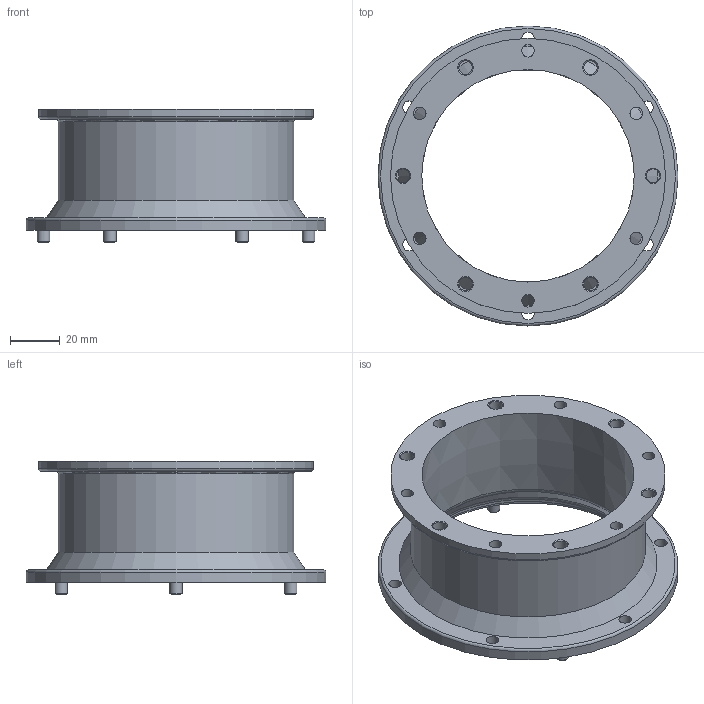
import cadquery as cq
import math

TOTAL_HEIGHT = 48.5
LOWER_FLANGE_THICKNESS = 5.0
UPPER_FLANGE_THICKNESS = 4.0
SKIRT_TOP = 12.0

LOWER_FLANGE_RADIUS = 60.0
UPPER_FLANGE_RADIUS = 55.0
BARREL_RADIUS = 47.1
SKIRT_BASE_RADIUS = 51.75
RIM_FILLET = 1.0
NECK_FILLET = 1.0

BORE_TOP_RADIUS = 42.5
BORE_DRAFT = math.radians(2.0)
BORE_END_HEIGHT = 10.4
BORE_END_RADIUS = BORE_TOP_RADIUS + (TOTAL_HEIGHT - BORE_END_HEIGHT) * math.tan(BORE_DRAFT)
MOUTH_RADIUS = 48.2
MOUTH_HEIGHT = 2.4
FLARE_ANGLE = math.radians(34.5)
RECESS_RADIUS = 49.0
RECESS_DEPTH = 1.3

PATTERN_COUNT = 6
PATTERN_STEP = 360.0 / PATTERN_COUNT
HALF_STEP = PATTERN_STEP / 2
UPPER_HOLE_CIRCLE_RADIUS = 50.0
PLAIN_HOLE_DIAMETER = 5.0
TAPPED_HOLE_DIAMETER = 5.5
TAPPED_HOLE_CHAMFER = 0.35
LOWER_HOLE_CIRCLE_RADIUS = 55.0
PIN_CIRCLE_RADIUS = 53.0
PIN_DIAMETER = 5.0
PIN_LENGTH = 5.0
PIN_CHAMFER = 0.5

UPPER_FLANGE_BOTTOM = TOTAL_HEIGHT - UPPER_FLANGE_THICKNESS


def make_envelope():
    """Solid of revolution bounded by the outer profile."""
    inset_ratio = 1 - math.cos(math.radians(45))
    rim_inset = RIM_FILLET * inset_ratio
    neck_inset = NECK_FILLET * inset_ratio
    profile = (
        cq.Workplane("XZ")
        .moveTo(0, 0)
        .lineTo(LOWER_FLANGE_RADIUS, 0)
        .lineTo(LOWER_FLANGE_RADIUS, LOWER_FLANGE_THICKNESS - RIM_FILLET)
        .threePointArc(
            (LOWER_FLANGE_RADIUS - rim_inset, LOWER_FLANGE_THICKNESS - rim_inset),
            (LOWER_FLANGE_RADIUS - RIM_FILLET, LOWER_FLANGE_THICKNESS),
        )
        .lineTo(SKIRT_BASE_RADIUS, LOWER_FLANGE_THICKNESS)
        .lineTo(BARREL_RADIUS, SKIRT_TOP)
        .lineTo(BARREL_RADIUS, UPPER_FLANGE_BOTTOM - NECK_FILLET)
        .threePointArc(
            (BARREL_RADIUS + neck_inset, UPPER_FLANGE_BOTTOM - neck_inset),
            (BARREL_RADIUS + NECK_FILLET, UPPER_FLANGE_BOTTOM),
        )
        .lineTo(UPPER_FLANGE_RADIUS - RIM_FILLET, UPPER_FLANGE_BOTTOM)
        .threePointArc(
            (UPPER_FLANGE_RADIUS - rim_inset, UPPER_FLANGE_BOTTOM + rim_inset),
            (UPPER_FLANGE_RADIUS, UPPER_FLANGE_BOTTOM + RIM_FILLET),
        )
        .lineTo(UPPER_FLANGE_RADIUS, TOTAL_HEIGHT)
        .lineTo(0, TOTAL_HEIGHT)
        .close()
    )
    return profile.revolve(360, (0, 0, 0), (0, 1, 0))


def make_passage():
    """Inner void: tapered bore, rounded flare, cylindrical mouth and bottom recess.

    The flare is a cone joined to the bore and to the mouth by two equal
    opposite arcs, each turning through the flare angle.
    """
    rise = BORE_END_HEIGHT - MOUTH_HEIGHT
    spread = MOUTH_RADIUS - BORE_END_RADIUS
    sine = math.sin(FLARE_ANGLE)
    cosine = math.cos(FLARE_ANGLE)
    blend_radius = (rise * sine - spread * cosine) / (2 * (1 - cosine))

    def arc_offset(angle):
        """Sideways and vertical travel along an arc that starts vertical."""
        return blend_radius * (1 - math.cos(angle)), blend_radius * math.sin(angle)

    mid_side, mid_drop = arc_offset(FLARE_ANGLE / 2)
    end_side, end_drop = arc_offset(FLARE_ANGLE)
    profile = (
        cq.Workplane("XZ")
        .moveTo(0, TOTAL_HEIGHT)
        .lineTo(BORE_TOP_RADIUS, TOTAL_HEIGHT)
        .lineTo(BORE_END_RADIUS, BORE_END_HEIGHT)
        .threePointArc(
            (BORE_END_RADIUS + mid_side, BORE_END_HEIGHT - mid_drop),
            (BORE_END_RADIUS + end_side, BORE_END_HEIGHT - end_drop),
        )
        .lineTo(MOUTH_RADIUS - end_side, MOUTH_HEIGHT + end_drop)
        .threePointArc(
            (MOUTH_RADIUS - mid_side, MOUTH_HEIGHT + mid_drop),
            (MOUTH_RADIUS, MOUTH_HEIGHT),
        )
        .lineTo(MOUTH_RADIUS, RECESS_DEPTH)
        .lineTo(RECESS_RADIUS, RECESS_DEPTH)
        .lineTo(RECESS_RADIUS, 0)
        .lineTo(0, 0)
        .close()
    )
    return profile.revolve(360, (0, 0, 0), (0, 1, 0))


def ring_pattern(height, circle_radius, start_angle):
    """Workplane with six evenly spaced points on a circle."""
    return (
        cq.Workplane("XY")
        .workplane(offset=height)
        .polarArray(circle_radius, start_angle, 360, PATTERN_COUNT)
    )


def make_plain_holes():
    """Through holes of the upper flange."""
    pattern = ring_pattern(UPPER_FLANGE_BOTTOM - NECK_FILLET, UPPER_HOLE_CIRCLE_RADIUS, HALF_STEP)
    return pattern.circle(PLAIN_HOLE_DIAMETER / 2).extrude(UPPER_FLANGE_THICKNESS + NECK_FILLET)


def make_tapped_holes():
    """Wider through holes of the upper flange, chamfered at the top."""
    floor = UPPER_FLANGE_BOTTOM - NECK_FILLET
    radius = TAPPED_HOLE_DIAMETER / 2
    profile = (
        cq.Workplane("XZ")
        .moveTo(0, floor)
        .lineTo(radius, floor)
        .lineTo(radius, TOTAL_HEIGHT - TAPPED_HOLE_CHAMFER)
        .lineTo(radius + TAPPED_HOLE_CHAMFER, TOTAL_HEIGHT)
        .lineTo(0, TOTAL_HEIGHT)
        .close()
    )
    cutter = profile.revolve(360, (0, 0, 0), (0, 1, 0)).val()
    return ring_pattern(0, UPPER_HOLE_CIRCLE_RADIUS, 0).eachpoint(cutter)


def make_lower_holes():
    """Through holes of the lower flange."""
    pattern = ring_pattern(0, LOWER_HOLE_CIRCLE_RADIUS, HALF_STEP)
    return pattern.circle(PLAIN_HOLE_DIAMETER / 2).extrude(LOWER_FLANGE_THICKNESS)


def make_pins():
    """Locating pins below the lower flange, with chamfered tips."""
    pins = ring_pattern(0, PIN_CIRCLE_RADIUS, 0).circle(PIN_DIAMETER / 2).extrude(-PIN_LENGTH)
    return pins.faces("<Z").chamfer(PIN_CHAMFER)


result = (
    make_envelope()
    .cut(make_passage())
    .cut(make_plain_holes())
    .cut(make_tapped_holes())
    .cut(make_lower_holes())
    .union(make_pins())
)